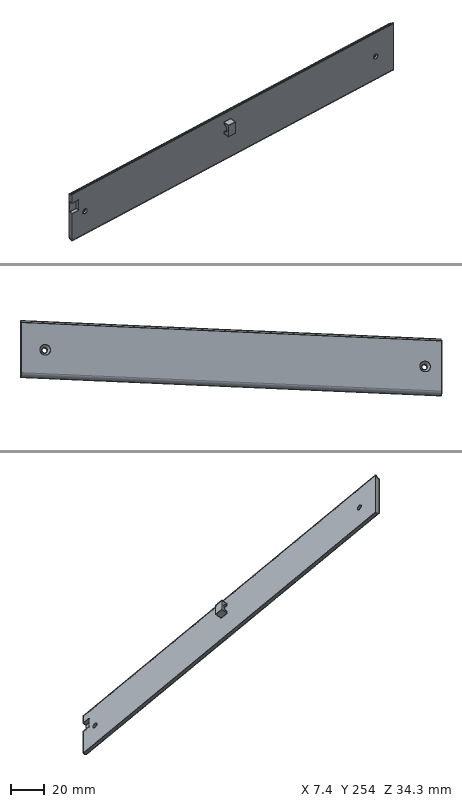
import cadquery as cq
import math

length = 254.0
height = 34.3
total_depth = 7.4
plate_thickness = 3.0
top_land = 0.8
cove_radius = 1.5
bottom_round = 2.3

hole_diameter = 3.3
countersink_diameter = 6.4
countersink_angle = 90
hole_height = 16.8
hole_positions = (-116.8, 112.8)

lug_height = 8.5
lug_length = 5.3
lug_center_y = -4.5
lug_center_z = 24.0
lug_bore_diameter = 5.8
lug_bore_offset = 0.3

notch_height = 7.5
notch_length = 5.0
notch_skin = 0.8


def make_plate():
    """Extrude the strip section: coved top edge and rounded bottom edge."""
    cove_start = plate_thickness - top_land - cove_radius
    diagonal = math.sqrt(0.5)
    return (
        cq.Workplane("XZ", origin=(0, length / 2, 0))
        .moveTo(plate_thickness, 0)
        .lineTo(plate_thickness, height)
        .lineTo(plate_thickness - top_land, height)
        .threePointArc(
            (cove_start + cove_radius * diagonal, height - cove_radius * diagonal),
            (cove_start, height - cove_radius),
        )
        .lineTo(0, height - cove_radius)
        .lineTo(0, bottom_round)
        .threePointArc(
            (bottom_round * (1 - diagonal), bottom_round * (1 - diagonal)),
            (bottom_round, 0),
        )
        .close()
        .extrude(length)
    )


def make_lug():
    """Block on the back face with a bore along Y, open towards the plate."""
    lug_depth = total_depth - plate_thickness
    block = cq.Workplane("XY").box(lug_depth, lug_length, lug_height, centered=(False, True, True))
    bore = (
        cq.Workplane("XZ")
        .center(-lug_bore_offset, 0)
        .circle(lug_bore_diameter / 2)
        .extrude(lug_length, both=True)
    )
    return block.cut(bore).translate((plate_thickness, lug_center_y, lug_center_z))


def make_notch():
    """Volume removed from the back of the plate, open at the -Y end."""
    return (
        cq.Workplane("XY")
        .box(plate_thickness - notch_skin, notch_length, notch_height, centered=(False, False, True))
        .translate((notch_skin, -length / 2, lug_center_z))
    )


def drill_screw_holes(plate):
    """Countersink the screw holes from the front (-X) face."""
    return (
        plate.copyWorkplane(cq.Workplane("YZ").workplane(invert=True))
        .pushPoints([(y, -hole_height) for y in hole_positions])
        .cskHole(hole_diameter, countersink_diameter, countersink_angle)
    )


plate = drill_screw_holes(make_plate().cut(make_notch()))
centering = (-total_depth / 2, 0, -height / 2)
result = plate.union(make_lug()).translate(centering)